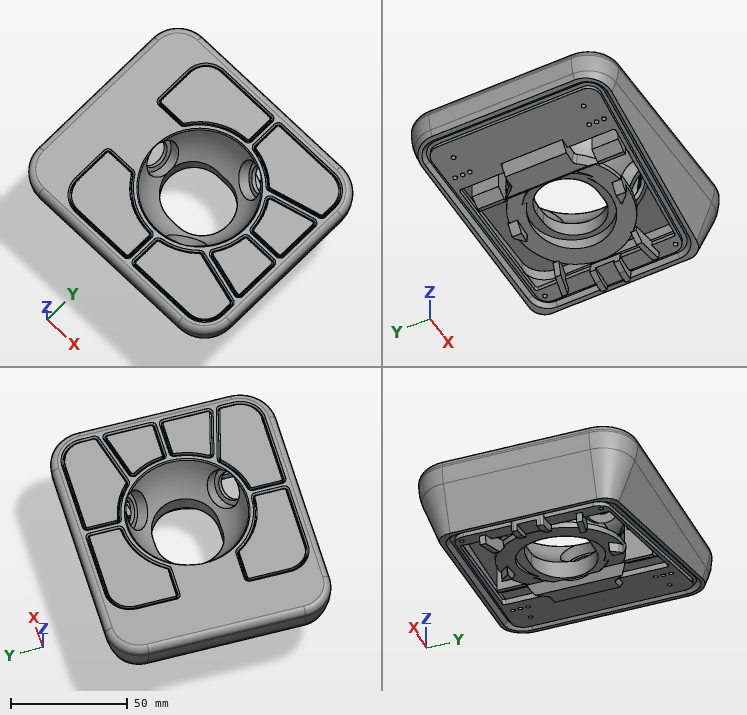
import cadquery as cq
import math

LENGTH = 115.0
WIDTH = 100.0
LEFT_CORNER = 15.0
RIGHT_CORNER = 16.1
TOP_ROUND = 3.0
DRAFT = 20.0
DRAFT_START = 8.0
DRAFT_BLEND = 23.5
BODY_DEPTH = 46.0
TILT = 10.0
BASE_AT_CENTRE = 24.6

ROOF = 2.9
WALL = 5.3
PLATE = 2.5

BOWL_X = 5.1
BOWL_RIM_RADIUS = 26.6
BOWL_RISE = 5.2
BOWL_RADIUS = math.hypot(BOWL_RIM_RADIUS, BOWL_RISE)
BOWL_SHELL = 2.2
BOWL_EDGE = 0.5
FOOT_RADIUS = 21.3
FOOT_TOP = 15.0
FOOT_BOTTOM = 23.3
RECESS_RADIUS = 19.4
SLOT_X = 4.3
SLOT_LENGTH = 35.0
SLOT_WIDTH = 29.7
PORT_ANGLES = (60, 180, 300)
PORT_DROP = 29.5
PORT_BORE = 17.4
PORT_HOLE = 12.9
PORT_BOSS = 20.7
SHOULDER = 30.8
BOSS_END = 32.8

PAD_LEFT = -36.1
PAD_RIGHT = 52.9
PAD_HALF_WIDTH = 45.4
PAD_BIG_RADIUS = 11.2
PAD_SMALL_RADIUS = 2.3
PAD_BOWL_RADIUS = 28.5
PAD_GAP = 1.4
REST_HALF_WIDTH = 14.4
CROSS_RIB_X = 7.0
SLANT_RIB_ANGLE = 15.0
SLANT_RIB_Y = 13.1
BEVEL = 0.8
GAP_WIDTH = 0.7
GAP_DEPTH = 1.7
OPEN_GAP_REACH = 3.0

RIM = 2.0
GROOVE = 3.7
GROOVE_SLANT = 1.8
GROOVE_DEPTH = 2.0
BASE_LEFT = -55.7
BASE_RIGHT = 49.0
BASE_LEFT_HALF = 47.7
BASE_RIGHT_HALF = 40.9
BASE_CORNER = 11.5
WINDOW_LEFT = -25.6
WINDOW_RIGHT = 35.6
WINDOW_LEFT_HALF = 38.4
WINDOW_RIGHT_HALF = 34.5
WINDOW_CORNER = 1.2
PIN_HOLE = 2.0
PIN_HOLES = ((-42.0, 32.1), (-32.2, 29.4), (-32.2, 33.0), (-32.2, 36.7), (39.7, 32.2))

RING_U = 5.2
RING_RADIUS = 28.1
LUG_HEIGHT = 4.2
LUG_LEAD = 4.4
FRONT_LUG_START = -30.2
FRONT_LUG_END = -19.5
FRONT_LUG_HALF = 15.1
WING_OUTER = 29.0
WING_TIP = -15.8
WING_ROOT = -12.6
WING_FILLET = 2.3
SIDE_LUG_START = -0.9
SIDE_LUG_END = 8.3
SIDE_LUG_INNER = 23.3
SIDE_LUG_OUTER = 28.0
SIDE_LUG_KNEE = 4.4
SIDE_LUG_BACK = 23.6
SIDE_LUG_ROUND = 3.0
REAR_LUG_START = 25.8
REAR_LUG_END = 40.5
REAR_LUG_Y = 17.7
REAR_LUG_WIDTH = 2.8
REAR_LUG_ANGLE = 12.5
HOOK_START = 35.1
HOOK_END = 45.7
HOOK_HALF = 7.4
HOOK_NOTCH_HALF = 4.5
HOOK_BRIDGE = 1.3
HOOK_FACE = 2.8
HOOK_LEAD_END = 40.2
HOOK_ROUND = 1.2

RIB_INNER = 23.0
RIB_OUTER = 36.0
RIB_FRONT = -18.0
RIB_TIP = -13.1
RIB_BACK = -11.5
RIB_LEAD_DEPTH = 19.0
RIB_DEPTH = 22.3

SIN = math.sin(math.radians(TILT))
COS = math.cos(math.radians(TILT))


def base_plane(height=0.0):
    """Plane parallel to the sloping base: x runs down the slope, height is into the part."""
    origin = (height * SIN, 0, height * COS - BASE_AT_CENTRE)
    return cq.Workplane(cq.Plane(origin=origin, xDir=(COS, 0, -SIN), normal=(SIN, 0, COS)))


def above_base(height):
    """Large block filling everything above a plane parallel to the base."""
    return base_plane(height).rect(3 * LENGTH, 3 * LENGTH).extrude(LENGTH)


def drafted_block(inset, top):
    """Rounded block with an upright band and drafted lower walls."""
    half_length = LENGTH / 2 - inset
    width = WIDTH - 2 * inset
    outline = (
        cq.Sketch().rect(2 * half_length, width)
        .vertices("<X").fillet(LEFT_CORNER - inset).reset()
        .vertices(">X").fillet(RIGHT_CORNER - inset).reset()
    )
    break_plane = cq.Workplane("XY").workplane(offset=-DRAFT_START).placeSketch(outline)
    skirt = break_plane.extrude(DRAFT_START - BODY_DEPTH, taper=DRAFT)
    return break_plane.extrude(DRAFT_START - top).union(skirt)


def trapezoid(left, right, left_half, right_half, corner, height, taper=0):
    """Rounded trapezoid standing on the base plane."""
    corners = [
        (left, -left_half), (right, -right_half), (right, right_half), (left, left_half), (left, -left_half)
    ]
    outline = cq.Sketch().polygon(corners).vertices().fillet(corner)
    return base_plane().placeSketch(outline).extrude(height, taper=taper)


def sphere(radius):
    return cq.Workplane("XY").sphere(radius).translate((BOWL_X, 0, BOWL_RISE))


def port_cylinder(angle, diameter, start, end):
    """Cylinder along a port axis, measured from the bowl centre."""
    drop = math.radians(PORT_DROP)
    turn = math.radians(angle)
    axis = cq.Vector(
        math.cos(drop) * math.cos(turn), math.cos(drop) * math.sin(turn), -math.sin(drop)
    )
    origin = cq.Vector(BOWL_X, 0, BOWL_RISE) + axis * start
    return cq.Workplane(cq.Solid.makeCylinder(diameter / 2, end - start, origin, axis))


def slope_prism(points, half_width):
    """Prism across Y from a (u, height) profile drawn in the plane Y = 0."""
    plane = cq.Plane(origin=(0, 0, -BASE_AT_CENTRE), xDir=(COS, 0, -SIN), normal=(0, -1, 0))
    return cq.Workplane(plane).polyline(points).close().extrude(half_width, both=True)


def lug_profile(start, end):
    """Lug with a sloping leading face below the base and a square back, rooted in the plate."""
    points = [
        (start, PLATE), (start, 0), (start + LUG_LEAD, -LUG_HEIGHT), (end, -LUG_HEIGHT), (end, PLATE)
    ]
    return slope_prism(points, WIDTH / 2)


def hollow_wedge():
    """Rounded wedge with a sloping base, hollow above a closed bottom plate."""
    body = drafted_block(0, 0)
    break_edges = cq.selectors.BoxSelector(
        (-LENGTH, -LENGTH, -DRAFT_START - 0.1), (LENGTH, LENGTH, -DRAFT_START + 0.1)
    )
    body = body.edges(break_edges).fillet(DRAFT_BLEND).faces(">Z").edges().fillet(TOP_ROUND)
    body = body.intersect(above_base(0))
    return body.cut(drafted_block(WALL, ROOF).intersect(above_base(PLATE)))


def base_trapezoid(inset, taper=0):
    return trapezoid(
        BASE_LEFT + inset, BASE_RIGHT - inset, BASE_LEFT_HALF - inset, BASE_RIGHT_HALF - inset,
        BASE_CORNER - inset, GROOVE_DEPTH, taper,
    )


def base_groove():
    """Groove inside the rim: slanted on the rim side, upright on the plate side."""
    slant = math.degrees(math.atan2(GROOVE_SLANT, GROOVE_DEPTH))
    return base_trapezoid(RIM, slant).cut(base_trapezoid(RIM + GROOVE))


def window():
    return trapezoid(
        WINDOW_LEFT, WINDOW_RIGHT, WINDOW_LEFT_HALF, WINDOW_RIGHT_HALF, WINDOW_CORNER, 2 * PLATE
    )


def inner_rib(side):
    """Rib hanging from the roof with a slanted lower front."""
    points = [
        (RIB_FRONT, -ROOF / 2), (RIB_FRONT, -RIB_LEAD_DEPTH), (RIB_TIP, -RIB_DEPTH),
        (RIB_BACK, -RIB_DEPTH), (RIB_BACK, -ROOF / 2),
    ]
    rib = cq.Workplane("XZ").polyline(points).close().extrude((RIB_OUTER - RIB_INNER) / 2, both=True)
    return rib.translate((0, side * (RIB_OUTER + RIB_INNER) / 2, 0))


def bowl_solid():
    """Outside of the bowl with its flat foot, base ring and port bosses, before hollowing."""
    below_top = cq.Workplane("XY").rect(LENGTH, LENGTH).extrude(-FOOT_BOTTOM)
    column = (
        cq.Workplane("XY", origin=(BOWL_X, 0, -FOOT_TOP))
        .circle(FOOT_RADIUS).extrude(FOOT_TOP - BODY_DEPTH)
    )
    foot = column.intersect(below_top).union(column.intersect(above_base(0)))
    ring = base_plane().center(RING_U, 0).circle(RING_RADIUS).extrude(PLATE)
    solid = sphere(BOWL_RADIUS + BOWL_SHELL).intersect(below_top).union(foot).union(ring)
    for angle in PORT_ANGLES:
        boss = port_cylinder(angle, PORT_BOSS, SHOULDER / 2, BOSS_END)
        solid = solid.union(boss.intersect(below_top))
    return solid


def bowl_cuts():
    """Spherical seat, its through slot and the three counterbored ports."""
    edge = (
        cq.Workplane("XY", origin=(BOWL_X, 0, 0))
        .circle(BOWL_RIM_RADIUS + BOWL_EDGE).extrude(-BOWL_RIM_RADIUS, taper=45)
    )
    cuts = sphere(BOWL_RADIUS).union(edge)
    slot = (
        cq.Workplane("XY", origin=(SLOT_X, 0, 0))
        .slot2D(SLOT_LENGTH, SLOT_WIDTH).extrude(-BODY_DEPTH)
    )
    recess = (
        cq.Workplane("XY", origin=(BOWL_X, 0, -FOOT_BOTTOM))
        .circle(RECESS_RADIUS).extrude(FOOT_BOTTOM - BODY_DEPTH)
    )
    cuts = cuts.union(slot).union(recess)
    for angle in PORT_ANGLES:
        cuts = cuts.union(port_cylinder(angle, PORT_BORE, SHOULDER / 2, SHOULDER))
        cuts = cuts.union(port_cylinder(angle, PORT_HOLE, SHOULDER / 2, BOSS_END + 1.2))
    return cuts


def pad_slabs():
    """Sharp-cornered slabs, one per pad, left after removing the bowl, the rest and the ribs."""
    length = PAD_RIGHT - PAD_LEFT
    centre = (PAD_LEFT + PAD_RIGHT) / 2
    field = (
        cq.Workplane("XY", origin=(centre, 0, 0)).rect(length, 2 * PAD_HALF_WIDTH).extrude(-1.2)
        .edges("|Z").fillet(PAD_BIG_RADIUS)
    )
    field = field.cut(cq.Workplane("XY", origin=(BOWL_X, 0, 0)).circle(PAD_BOWL_RADIUS).extrude(-1.2))
    rest = cq.Workplane("XY", origin=(BOWL_X - LENGTH / 2, 0, 0)).rect(LENGTH, 2 * REST_HALF_WIDTH)
    field = field.cut(rest.extrude(-1.2))
    cross = cq.Workplane("XY", origin=(CROSS_RIB_X, 0, 0)).rect(PAD_GAP, WIDTH).extrude(-1.2)
    rib = cq.Workplane("XY").center(LENGTH / 2, 0).rect(LENGTH, PAD_GAP).extrude(-1.2)
    field = field.cut(cross).cut(rib.translate((BOWL_X, 0, 0)))
    for side in (-1, 1):
        slant = rib.rotate((0, 0, 0), (0, 0, 1), side * SLANT_RIB_ANGLE)
        field = field.cut(slant.translate((BOWL_X, side * SLANT_RIB_Y, 0)))
    return field.solids().vals()


def rounded_outline(slab):
    """Top outline of a slab with its corners rounded."""
    wire = slab.faces(">Z").outerWire()
    return wire.offset2D(-PAD_SMALL_RADIUS)[0].offset2D(PAD_SMALL_RADIUS)[0]


def prism(wire, depth):
    return cq.Workplane(cq.Solid.extrudeLinear(wire, [], cq.Vector(0, 0, -depth)))


def pad_border(slab):
    """Bevelled gap around one pad, open through the roof where it follows the bowl."""
    outline = rounded_outline(slab)
    gap_outer = outline.offset2D(-BEVEL)[0]
    pad_edge = outline.offset2D(-BEVEL - GAP_WIDTH)[0]
    bevel = prism(outline, BEVEL).faces("<Z").edges().chamfer(0.99 * BEVEL)
    gap = prism(gap_outer, 2 * ROOF).cut(prism(pad_edge, 2 * ROOF))
    near_bowl = (
        cq.Workplane("XY", origin=(BOWL_X, 0, 0))
        .circle(PAD_BOWL_RADIUS + OPEN_GAP_REACH).extrude(-2 * ROOF)
    )
    shallow = cq.Workplane("XY").rect(LENGTH, WIDTH).extrude(-GAP_DEPTH)
    gap = gap.intersect(near_bowl.union(shallow))
    return bevel.cut(prism(pad_edge, BEVEL)).union(gap)


def front_lug():
    """Wide lug with curved wings that follow the ring."""
    block = lug_profile(FRONT_LUG_START, FRONT_LUG_END).intersect(
        cq.Workplane("XY").box(2 * LENGTH, 2 * FRONT_LUG_HALF, 2 * LENGTH)
    )
    wings = (
        base_plane(-LUG_HEIGHT).center(RING_U, 0).circle(WING_OUTER)
        .extrude(LUG_HEIGHT + PLATE)
    )
    clip = slope_prism(
        [
            (-LENGTH, PLATE), (-LENGTH, -LUG_HEIGHT), (WING_TIP, -LUG_HEIGHT),
            (WING_ROOT, 0), (WING_ROOT, PLATE),
        ],
        WIDTH / 2,
    )
    lug = block.union(wings.intersect(clip))
    junction_u = RING_U - math.sqrt(WING_OUTER ** 2 - FRONT_LUG_HALF ** 2)
    for side in (-1, 1):
        junction = base_plane().plane.toWorldCoords((junction_u, side * FRONT_LUG_HALF, -LUG_HEIGHT / 2))
        lug = lug.edges(cq.selectors.NearestToPointSelector(junction.toTuple())).fillet(WING_FILLET)
    return lug


def side_lug(side):
    """Lug with a sloping front whose outer face turns inward round a soft knee."""
    footprint = [
        (SIDE_LUG_START, side * SIDE_LUG_INNER), (SIDE_LUG_START, side * SIDE_LUG_OUTER),
        (SIDE_LUG_KNEE, side * SIDE_LUG_OUTER), (SIDE_LUG_END, side * SIDE_LUG_BACK),
        (SIDE_LUG_END, side * SIDE_LUG_INNER),
    ]
    block = base_plane(-LUG_HEIGHT).polyline(footprint).close().extrude(LUG_HEIGHT + PLATE)
    knee = base_plane().plane.toWorldCoords((SIDE_LUG_KNEE, side * SIDE_LUG_OUTER, -LUG_HEIGHT / 2))
    block = block.edges(cq.selectors.NearestToPointSelector(knee.toTuple())).fillet(SIDE_LUG_ROUND)
    return block.intersect(lug_profile(SIDE_LUG_START, SIDE_LUG_END))


def rear_lug(side):
    """Slanted bar spreading outward down the slope."""
    spread = (REAR_LUG_END - REAR_LUG_START) * math.tan(math.radians(REAR_LUG_ANGLE))
    near = side * REAR_LUG_Y
    far = side * (REAR_LUG_Y + spread)
    width = side * REAR_LUG_WIDTH
    footprint = [
        (REAR_LUG_START, near), (REAR_LUG_END, far),
        (REAR_LUG_END, far + width), (REAR_LUG_START, near + width),
    ]
    bar = base_plane(-LUG_HEIGHT).polyline(footprint).close().extrude(LUG_HEIGHT + PLATE)
    return bar.intersect(lug_profile(REAR_LUG_START, REAR_LUG_END))


def rear_hook():
    """Two feet joined by a low bridge."""
    points = [
        (HOOK_START, PLATE), (HOOK_START, -HOOK_FACE), (HOOK_LEAD_END, -LUG_HEIGHT),
        (HOOK_END, -LUG_HEIGHT), (HOOK_END, PLATE),
    ]
    notch = [
        (HOOK_START, -HOOK_BRIDGE), (HOOK_START, -LUG_HEIGHT),
        (HOOK_END, -LUG_HEIGHT), (HOOK_END, -HOOK_BRIDGE),
    ]
    block = slope_prism(points, HOOK_HALF)
    upright = cq.selectors.ParallelDirSelector(cq.Vector(SIN, 0, COS))
    block = block.faces(">X").edges(upright).fillet(HOOK_ROUND)
    return block.cut(slope_prism(notch, HOOK_NOTCH_HALF))


part = hollow_wedge()
part = part.cut(base_groove())
part = part.cut(window()).union(bowl_solid())
part = part.union(front_lug()).union(rear_hook())
for side in (-1, 1):
    part = part.union(side_lug(side)).union(rear_lug(side)).union(inner_rib(side))
    for u, y in PIN_HOLES:
        part = part.cut(base_plane().center(u, side * y).circle(PIN_HOLE / 2).extrude(PLATE))
part = part.cut(bowl_cuts())
for slab in pad_slabs():
    part = part.cut(pad_border(slab))

result = part